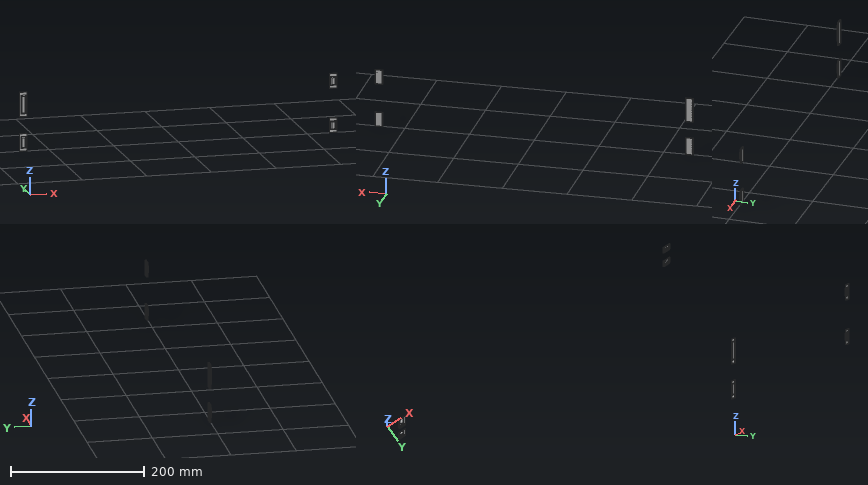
import cadquery as cq

OVERALL_LENGTH = 492.0
OVERALL_HEIGHT = 91.0
OVERALL_DEPTH = 3.5

BOSS_DEPTH = 1.53
BOSS_SLOPE_RUN = BOSS_DEPTH
BOSS_TOP_WIDTH = 5.0
BOSS_BASE_WIDTH = BOSS_TOP_WIDTH + 2 * BOSS_SLOPE_RUN

SIDE_LEDGE = 2.0
END_LEDGE = 4.6
PAD_WIDTH = BOSS_BASE_WIDTH + 2 * SIDE_LEDGE
PLATE_THICKNESS = OVERALL_DEPTH - BOSS_DEPTH
BACK_CHAMFER = 1.0

LEFT_TOP_HEIGHT = 38.0
LEFT_BOTTOM_HEIGHT = 27.0
RIGHT_HEIGHT = 22.5


def make_plate(height):
    """Flat plate, centred in X and Z, with its long back edges chamfered."""
    return (
        cq.Workplane("XY")
        .box(PAD_WIDTH, PLATE_THICKNESS, height)
        .translate((0, BOSS_DEPTH + PLATE_THICKNESS / 2, 0))
        .edges(">Y and |Z")
        .chamfer(BACK_CHAMFER)
    )


def make_boss(height):
    """Tapered boss that rises from the plate's front face (y = BOSS_DEPTH) to y = 0."""
    base_height = height - 2 * END_LEDGE
    return (
        cq.Workplane("XZ", origin=(0, BOSS_DEPTH, 0))
        .rect(BOSS_BASE_WIDTH, base_height)
        .workplane(offset=BOSS_DEPTH)
        .rect(BOSS_TOP_WIDTH, base_height - 2 * BOSS_SLOPE_RUN)
        .loft(ruled=True)
    )


def make_pad(height, center_x, center_z):
    """One pad: a plate and its boss as a single solid, moved into place."""
    pad = make_plate(height).union(make_boss(height))
    return pad.translate((center_x, 0, center_z)).val()


LEFT_X = PAD_WIDTH / 2
RIGHT_X = OVERALL_LENGTH - PAD_WIDTH / 2
COLUMNS = [
    (LEFT_X, LEFT_BOTTOM_HEIGHT, LEFT_TOP_HEIGHT),
    (RIGHT_X, RIGHT_HEIGHT, RIGHT_HEIGHT),
]

pads = []
for column_x, bottom_height, top_height in COLUMNS:
    pads.append(make_pad(bottom_height, column_x, bottom_height / 2))
    pads.append(make_pad(top_height, column_x, OVERALL_HEIGHT - top_height / 2))

result = cq.Compound.makeCompound(pads)